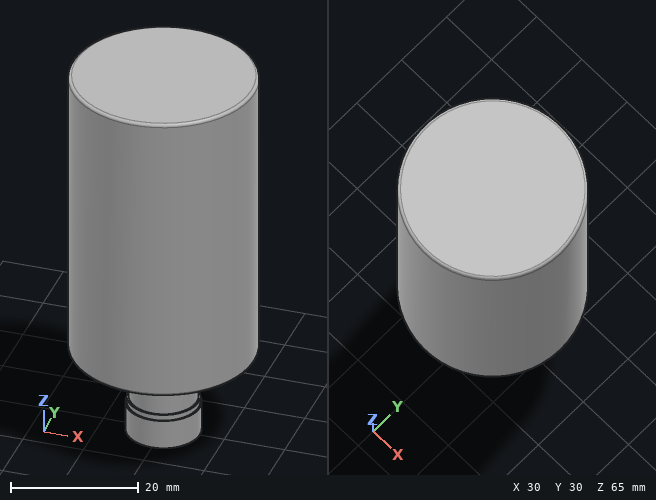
import cadquery as cq

total_height = 65.0
body_diameter = 30.0
body_height = 50.0
body_rim_radius = 0.5
stem_diameter = 11.0
collar_diameter = 11.6
collar_height = 1.0
plug_diameter = 12.0
plug_height = 5.0

body_bottom = total_height - body_height
collar_top = plug_height + collar_height


def cylinder(diameter, bottom, top):
    """Upright cylinder on the Z axis between two heights."""
    return cq.Workplane("XY").workplane(offset=bottom).circle(diameter / 2).extrude(top - bottom)


body = cylinder(body_diameter, body_bottom, total_height).edges("%CIRCLE").fillet(body_rim_radius)

stem = cylinder(stem_diameter, collar_top, body_bottom)
collar = cylinder(collar_diameter, plug_height, collar_top)
plug = cylinder(plug_diameter, 0, plug_height)

result = body.union(stem).union(collar).union(plug)